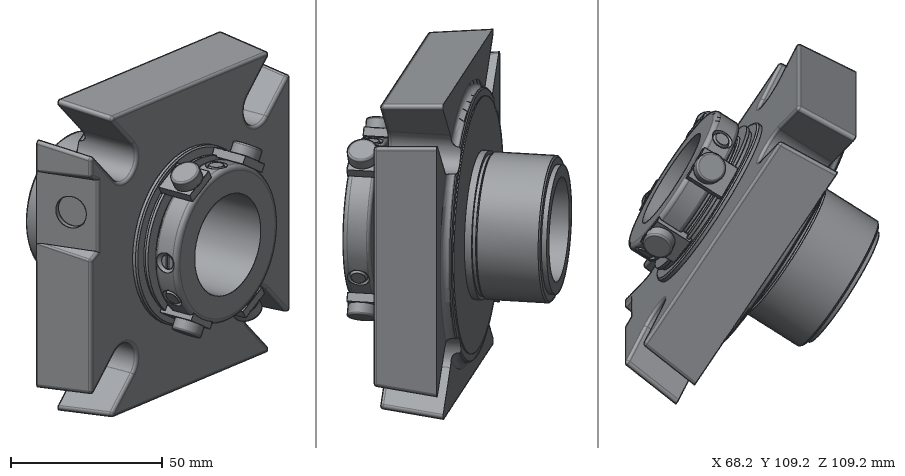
import cadquery as cq
import math


NOSE_END = 1.7
BARREL_END = 23.5
GROOVE_END = 24.7
DISC_START = 27.1
RIM_START = 27.5
FLARE_START = 28.3
PLATE_START = 30.7
PLATE_END = 52.2
BOSS_END = 54.0
SEAT_END = 55.3
WASHER_END = 56.4
CONE_END = 56.9
STEP_END = 57.9
COLLAR_START = 58.5
COLLAR_END = 68.0
HEADS_END = 68.2

BORE_DIA = 35.0
NOSE_DIA = 43.2
BARREL_DIA = 48.9
GROOVE_DIA = 47.2
SHOULDER_DIA = 49.6
DISC_DIA = 85.8
RIM_DIA = 91.3
BOSS_DIA = 61.4
SEAT_DIA = 54.0
WASHER_DIA = 55.5
CONE_DIA = 47.2
CONE_SMALL_DIA = 45.9
STEP_DIA = 43.5
SLEEVE_DIA = 37.0
COLLAR_DIA = 54.0
BARREL_CHAMFER = 0.5
RIM_CHAMFER = 0.4
BOSS_CHAMFER = 0.5
COLLAR_FRONT_FILLET = 1.2
COLLAR_BACK_FILLET = 1.7

PLATE_SIDE = 109.2
PLATE_DRAFT = 5.0
SLOT_ANGLES = (45, 135, 225, 315)
SLOT_WIDTH = 13.8
SLOT_CENTRE = 35.4
TIP_FILLET = 1.1
BACK_FILLET = 1.1

POCKET_TOP = 32.7
POCKET_BOTTOM = 7.6
POCKET_MIDDLE = (POCKET_TOP + POCKET_BOTTOM) / 2
POCKET_SLOPE = math.radians(15)
POCKET_WALL_ANGLE = math.radians(30)
POCKET_RIM_FILLET = 0.9
RECESS_DIA = 11.0
RECESS_X = 42.7
RECESS_DEPTH = 2.2

CLIP_START = 54.5
CLIP_END = 67.7
CLIP_WIDTH = 11.6
CLIP_THICKNESS = 3.0
CLIP_RADIUS = 29.6
LOW_CLIP_RADIUS = 28.1
CLIP_ANGLES = (30, -30, 210)
LOW_CLIP_ANGLE = 150
HEAD_DIA = 10.0
HEAD_HEIGHT = 4.0
HEAD_FILLET = 0.7

POINTED_SCREW_ANGLES = (0, 120, 240)
SLOTTED_SCREW_ANGLE = 90
SCREW_X = HEADS_END - HEAD_DIA / 2
SCREW_MOUTH_DIA = 7.4
SCREW_DIA = 6.0
SCREW_TIP_DIA = 4.9
SCREW_SINK = 1.1
SCREW_SLOT_WIDTH = 1.2
SCREW_SLOT_DEPTH = 0.7


def frustum(workplane, start_diameter, end_diameter, height):
    """Solid cone frustum that rises from a workplane."""
    start_circle = workplane.circle(start_diameter / 2)
    return start_circle.workplane(offset=height).circle(end_diameter / 2).loft(ruled=True)


def ring(start, end, diameter):
    """Solid disc about the X axis."""
    return cq.Workplane("YZ", origin=(start, 0, 0)).circle(diameter / 2).extrude(end - start)


def around_axis(shape, angle):
    """Turn a shape built on the +Z side about the X axis; 90 degrees brings it to -Y."""
    return shape.rotate((0, 0, 0), (1, 0, 0), angle)


def cut_corner_slots(body, start, end):
    """Cut the four diagonal slots between two stations."""
    centre_radius = SLOT_CENTRE * math.sqrt(2)
    slot = (
        cq.Workplane("YZ", origin=(start, 0, 0))
        .center(0, centre_radius + PLATE_SIDE / 2)
        .slot2D(PLATE_SIDE + SLOT_WIDTH, SLOT_WIDTH, 90)
        .extrude(end - start)
    )
    for angle in SLOT_ANGLES:
        body = body.cut(around_axis(slot, angle))
    return body


def make_barrel():
    """Nose, barrel, groove and shoulder in front of the disc."""
    barrel = ring(NOSE_END, BARREL_END, BARREL_DIA).faces("<X or >X").chamfer(BARREL_CHAMFER)
    barrel = barrel.union(ring(0, NOSE_END, NOSE_DIA))
    barrel = barrel.union(ring(BARREL_END, GROOVE_END, GROOVE_DIA))
    return barrel.union(ring(GROOVE_END, DISC_START, SHOULDER_DIA))


def make_front_disc():
    """Stepped disc that flares out to the plate in a concave arc."""
    rim = ring(RIM_START, FLARE_START, RIM_DIA).faces("<X").chamfer(RIM_CHAMFER)
    rim_radius = RIM_DIA / 2
    arc_radius = PLATE_START - FLARE_START
    foot_radius = rim_radius + arc_radius
    arc_offset = arc_radius * math.sqrt(0.5)
    flare = (
        cq.Workplane("XY")
        .moveTo(FLARE_START, 0)
        .lineTo(FLARE_START, rim_radius)
        .threePointArc((FLARE_START + arc_offset, foot_radius - arc_offset), (PLATE_START, foot_radius))
        .lineTo(PLATE_START, 0)
        .close()
        .revolve(360, (0, 0, 0), (1, 0, 0))
    )
    disc = ring(DISC_START, RIM_START, DISC_DIA).union(rim).union(flare)
    return cut_corner_slots(disc, DISC_START, PLATE_START)


def make_pocket():
    """Cutter whose floor starts at the plate's front edge and sinks toward its back."""
    half_floor = (POCKET_TOP - POCKET_BOTTOM) / 2
    height = PLATE_SIDE / 10
    length = PLATE_SIDE / 3
    half_mouth = half_floor + height * math.tan(POCKET_WALL_ANGLE)
    section = cq.Plane(
        origin=(PLATE_START, -PLATE_SIDE / 2, POCKET_MIDDLE),
        xDir=(0, 0, 1),
        normal=(math.cos(POCKET_SLOPE), math.sin(POCKET_SLOPE), 0),
    )
    return (
        cq.Workplane(section)
        .polyline([(-half_floor, 0), (half_floor, 0), (half_mouth, height), (-half_mouth, height)])
        .close()
        .extrude(length)
    )


def make_recess():
    """Shallow round cutter square to the pocket floor."""
    floor_y = -PLATE_SIDE / 2 + (RECESS_X - PLATE_START) * math.tan(POCKET_SLOPE)
    floor = cq.Plane(
        origin=(RECESS_X, floor_y, POCKET_MIDDLE),
        xDir=(0, 0, 1),
        normal=(math.sin(POCKET_SLOPE), -math.cos(POCKET_SLOPE), 0),
    )
    return cq.Workplane(floor).circle(RECESS_DIA / 2).extrude(-RECESS_DEPTH)


def pocket_rims():
    """Selector for the two edges where the pocket walls meet the drafted -Y side."""
    plate_depth = PLATE_END - PLATE_START
    middle_x = (PLATE_START + PLATE_END) / 2
    middle_y = -PLATE_SIDE / 2 + plate_depth / 2 * math.tan(math.radians(PLATE_DRAFT))
    reach = POCKET_TOP - POCKET_BOTTOM
    margin = 0.5
    return cq.selectors.BoxSelector(
        (middle_x - margin, middle_y - margin, POCKET_MIDDLE - reach),
        (middle_x + margin, middle_y + margin, POCKET_MIDDLE + reach),
    )


def make_plate():
    """Drafted square plate with corner slots, rounded edges, pocket and recess."""
    plate = (
        cq.Workplane("YZ", origin=(PLATE_START, 0, 0))
        .rect(PLATE_SIDE, PLATE_SIDE)
        .extrude(PLATE_END - PLATE_START, taper=PLATE_DRAFT)
    )
    plate = cut_corner_slots(plate, PLATE_START, PLATE_END)
    plate = plate.edges("%LINE and (not #X) and (not |X)").fillet(TIP_FILLET)
    plate = plate.cut(make_pocket())
    plate = plate.edges(pocket_rims()).fillet(POCKET_RIM_FILLET)
    plate = plate.faces(">X").edges().fillet(BACK_FILLET)
    return plate.cut(make_recess())


def make_back_rings():
    """Boss, seat, washer, stepped cone and the sleeve that carries the collar."""
    rings = ring(PLATE_END, BOSS_END, BOSS_DIA).faces(">X").chamfer(BOSS_CHAMFER)
    rings = rings.union(ring(BOSS_END, SEAT_END, SEAT_DIA))
    rings = rings.union(ring(SEAT_END, WASHER_END, WASHER_DIA))
    cone_base = cq.Workplane("YZ", origin=(WASHER_END, 0, 0))
    rings = rings.union(frustum(cone_base, CONE_DIA, CONE_SMALL_DIA, CONE_END - WASHER_END))
    rings = rings.union(ring(CONE_END, STEP_END, STEP_DIA))
    return rings.union(ring(STEP_END, COLLAR_END, SLEEVE_DIA))


def screw_floor():
    """Workplane at the bottom of a screw's flared mouth, on the +Z side of the collar."""
    return cq.Workplane("XY", origin=(SCREW_X, 0, COLLAR_DIA / 2 - SCREW_SINK))


def add_pointed_screw(collar, angle):
    """Flared mouth around a screw whose tapered tip rises level with the collar."""
    mouth = frustum(screw_floor(), SCREW_DIA, SCREW_MOUTH_DIA, SCREW_SINK)
    tip = frustum(screw_floor(), SCREW_DIA, SCREW_TIP_DIA, SCREW_SINK)
    return collar.cut(around_axis(mouth, angle)).union(around_axis(tip, angle))


def add_slotted_screw(collar, angle):
    """Flared mouth down to a sunk screw with a driver slot across its end."""
    mouth = frustum(screw_floor(), SCREW_TIP_DIA, SCREW_MOUTH_DIA, SCREW_SINK)
    slot = screw_floor().rect(SCREW_SLOT_WIDTH, SCREW_TIP_DIA).extrude(-SCREW_SLOT_DEPTH)
    return collar.cut(around_axis(mouth.union(slot), angle))


def make_collar():
    """Rounded collar with its set screws."""
    collar = ring(COLLAR_START, COLLAR_END, COLLAR_DIA)
    collar = collar.faces("<X").edges().fillet(COLLAR_FRONT_FILLET)
    collar = collar.faces(">X").edges().fillet(COLLAR_BACK_FILLET)
    for angle in POINTED_SCREW_ANGLES:
        collar = add_pointed_screw(collar, angle)
    return add_slotted_screw(collar, SLOTTED_SCREW_ANGLE)


def make_clip(angle, radius):
    """Flat block lying across the collar, with a round head on its outer face."""
    block = (
        cq.Workplane("XY", origin=((CLIP_START + CLIP_END) / 2, 0, radius))
        .rect(CLIP_END - CLIP_START, CLIP_WIDTH)
        .extrude(-CLIP_THICKNESS)
    )
    head = (
        cq.Workplane("XY", origin=(HEADS_END - HEAD_DIA / 2, 0, radius))
        .circle(HEAD_DIA / 2)
        .extrude(HEAD_HEIGHT)
        .faces(">Z")
        .edges()
        .fillet(HEAD_FILLET)
    )
    return around_axis(block.union(head), angle)


result = make_barrel().union(make_front_disc()).union(make_plate())
result = result.union(make_back_rings()).union(make_collar())
for clip_angle in CLIP_ANGLES:
    result = result.union(make_clip(clip_angle, CLIP_RADIUS))
result = result.union(make_clip(LOW_CLIP_ANGLE, LOW_CLIP_RADIUS))
result = result.cut(ring(0, COLLAR_END, BORE_DIA))